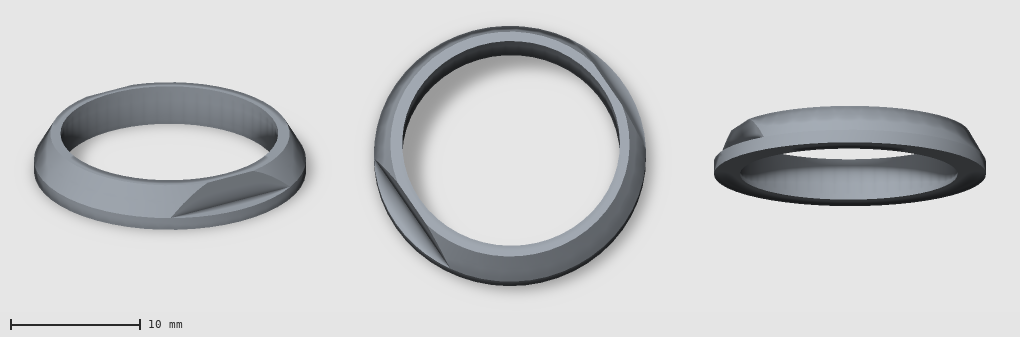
import cadquery as cq
import math

outer_diameter = 21.0
bore_diameter = 16.8
bore_offset_x = -0.1
total_height = 3.2
rim_height = 1.0
taper_angle = 30.0
across_flats = 18.0

outer_radius = outer_diameter / 2
taper_height = total_height - rim_height
top_radius = outer_radius - taper_height * math.tan(math.radians(taper_angle))
flat_depth = (outer_diameter - across_flats) / 2


def tapered_body():
    """Solid disc with a straight rim at the base and a conical outside above it."""
    return (
        cq.Workplane("XZ")
        .lineTo(outer_radius, 0)
        .lineTo(outer_radius, rim_height)
        .lineTo(top_radius, total_height)
        .lineTo(0, total_height)
        .close()
        .revolve(360, (0, 0, 0), (0, 1, 0))
    )


def bore_cutter():
    """Cylinder for the eccentric through bore."""
    return (
        cq.Workplane("XY", origin=(bore_offset_x, 0, 0))
        .circle(bore_diameter / 2)
        .extrude(total_height)
    )


def flat_cutter(side):
    """Block removed above the rim to leave a vertical flat on the +X or -X side."""
    centre_x = side * (across_flats + flat_depth) / 2
    return (
        cq.Workplane("XY", origin=(centre_x, 0, rim_height))
        .box(flat_depth, outer_diameter, taper_height, centered=(True, True, False))
    )


result = tapered_body().cut(bore_cutter())
for side in (-1, 1):
    result = result.cut(flat_cutter(side))